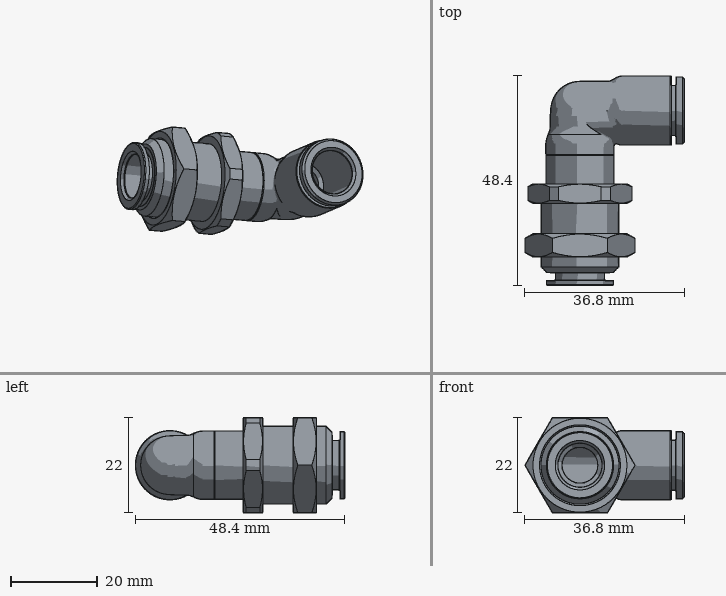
import cadquery as cq
import math


OVERALL_LENGTH = 48.35

PASSAGE_DIA = 8.2
LAND_DIA = 10.2
MOUTH_DIA = 11.4
MOUTH_LENGTH = 0.6
LAND_LENGTH = 0.25
TUBE_DIA = 10.15
SOCKET_DEPTH = 16.45
SOCKET_CONE_HALF_ANGLE = math.radians(60)

LEG_BODY_DIA = 16.0
STEM_BODY_DIA = 15.8
BODY_END_TAPER = 0.3
BODY_END_DROP = 0.1
PIPE_DIA = 13.55
FLARE_ANGLE = math.radians(30)

LEG_FLARE_START = 6.2
LEG_CONCAVE_RADIUS = 2.65
LEG_CONVEX_RADIUS = 3.0
LEG_BODY_END = 21.1
LEG_FLANGE_BACK = 22.2
LEG_TIP = 24.1

WEB_DEPTH = 5.95
WEB_CORNER_RADIUS = 3.4
WEB_FLARE_BLEND_RADIUS = 2.4
WEB_STEM_BLEND_RADIUS = 0.5
PICK_MARGIN = 0.15
web_end = LEG_FLARE_START + 2 * LEG_CONCAVE_RADIUS * math.sin(FLARE_ANGLE)

STEM_PIPE_DIA = 13.85
STEM_TAPER_START = -0.5
STEM_PIPE_START = 1.25
STEM_FLARE_START = 3.7
STEM_CONCAVE_RADIUS = 3.5
STEM_CONVEX_RADIUS = 4.25
STEM_BODY_END = 10.4
THREAD_DIA = 18.0
THREAD_END = 37.37
THREAD_CHAMFER = 1.35
INNER_RING_DIA = 13.65
INNER_RING_END = 37.45
STEM_FLANGE_BACK = 39.2
STEM_TIP = OVERALL_LENGTH - LEG_BODY_DIA / 2

LEG_COLLET_DIA = 11.6
STEM_COLLET_DIA = 11.4
COLLET_LIP_STEP = 0.15
COLLET_LIP_LENGTH = 0.2
FLANGE_DIA = 15.5
LEG_FLANGE_CHAMFER = 0.5
STEM_FLANGE_CHAMFER = 0.25

HEX_FLATS = 22.0
HEX_CORNERS = HEX_FLATS / math.cos(math.radians(30))
HEX_FACE_DIA = 21.65
HEX_CHAMFER_ANGLE = math.radians(30)
COLLAR_START = 16.85
COLLAR_LENGTH = 4.55
COLLAR_CORNER_DIA = 24.1
NUT_START = 28.4
NUT_LENGTH = 5.4
NUT_MOUTH_DIA = 18.65


def along_x(outline):
    """Revolve an outline of (distance, radius) about the X axis."""
    return outline.close().revolve(360, (0, 0, 0), (1, 0, 0))


def onto_stem(solid):
    """Turn a solid built along +X so that it runs along -Y."""
    return solid.rotate((0, 0, 0), (0, 0, 1), -90)


def collet(start, flange_back, tip, neck_dia, chamfer):
    """Collet neck with a small lip and a chamfered flange at its tip."""
    lip_start = flange_back - COLLET_LIP_LENGTH
    neck_radius = neck_dia / 2
    lip_radius = neck_radius + COLLET_LIP_STEP
    outline = (
        cq.Workplane("XY")
        .moveTo(start, 0)
        .lineTo(start, neck_radius)
        .lineTo(lip_start, neck_radius)
        .lineTo(lip_start, lip_radius)
        .lineTo(flange_back, lip_radius)
        .lineTo(flange_back, FLANGE_DIA / 2)
        .lineTo(tip - chamfer, FLANGE_DIA / 2)
        .lineTo(tip, FLANGE_DIA / 2 - chamfer)
        .lineTo(tip, 0)
    )
    return along_x(outline)


def bore(start, tip):
    """Passage beginning at start, widening into the tube socket and its mouth at the tip."""
    passage_radius = PASSAGE_DIA / 2
    tube_radius = TUBE_DIA / 2
    land_radius = LAND_DIA / 2
    socket_end = tip - SOCKET_DEPTH
    cone_length = (tube_radius - passage_radius) / math.tan(SOCKET_CONE_HALF_ANGLE)
    land_start = tip - MOUTH_LENGTH
    land_end = land_start - LAND_LENGTH
    outline = (
        cq.Workplane("XY")
        .moveTo(start, 0)
        .lineTo(start, passage_radius)
        .lineTo(socket_end - cone_length, passage_radius)
        .lineTo(socket_end, tube_radius)
        .lineTo(land_end, tube_radius)
        .lineTo(land_end, land_radius)
        .lineTo(land_start, land_radius)
        .lineTo(tip, MOUTH_DIA / 2)
        .lineTo(tip, 0)
    )
    return along_x(outline)


def add_flare(outline, start, small_radius, body_radius, concave_radius, convex_radius):
    """Continue an outline from the pipe to the body: concave arc, cone, convex arc."""
    half = FLARE_ANGLE / 2
    sine = math.sin(FLARE_ANGLE)
    cosine = math.cos(FLARE_ANGLE)
    cone_start = start + concave_radius * sine
    cone_start_radius = small_radius + concave_radius * (1 - cosine)
    cone_end_radius = body_radius - convex_radius * (1 - cosine)
    cone_end = cone_start + max(0, cone_end_radius - cone_start_radius) / math.tan(FLARE_ANGLE)
    end = cone_end + convex_radius * sine
    concave_middle = (
        start + concave_radius * math.sin(half),
        small_radius + concave_radius * (1 - math.cos(half)),
    )
    convex_middle = (
        end - convex_radius * math.sin(half),
        body_radius - convex_radius * (1 - math.cos(half)),
    )
    return (
        outline.lineTo(start, small_radius)
        .threePointArc(concave_middle, (cone_start, cone_start_radius))
        .lineTo(cone_end, cone_end_radius)
        .threePointArc(convex_middle, (end, body_radius))
    )


def add_body_end(outline, end, body_radius):
    """Finish an outline with the body cylinder and its slightly tapered end."""
    return (
        outline.lineTo(end - BODY_END_TAPER, body_radius)
        .lineTo(end, body_radius - BODY_END_DROP)
        .lineTo(end, 0)
    )


def leg_body():
    """Straight leg: pipe, flare and body."""
    pipe_radius = PIPE_DIA / 2
    body_radius = LEG_BODY_DIA / 2
    outline = cq.Workplane("XY").lineTo(0, pipe_radius)
    outline = add_flare(
        outline, LEG_FLARE_START, pipe_radius, body_radius, LEG_CONCAVE_RADIUS, LEG_CONVEX_RADIUS
    )
    return along_x(add_body_end(outline, LEG_BODY_END, body_radius))


def stem_body():
    """Upper part of the threaded leg: slight taper from the dome, pipe, flare and body."""
    pipe_radius = STEM_PIPE_DIA / 2
    body_radius = STEM_BODY_DIA / 2
    dome_radius = math.sqrt((PIPE_DIA / 2) ** 2 - STEM_TAPER_START**2)
    outline = (
        cq.Workplane("XY")
        .moveTo(STEM_TAPER_START, 0)
        .lineTo(STEM_TAPER_START, dome_radius)
        .lineTo(STEM_PIPE_START, pipe_radius)
    )
    outline = add_flare(
        outline, STEM_FLARE_START, pipe_radius, body_radius, STEM_CONCAVE_RADIUS, STEM_CONVEX_RADIUS
    )
    return onto_stem(along_x(add_body_end(outline, STEM_BODY_END, body_radius)))


def web():
    """Flat-sided web under the straight leg, rounded along its lower edges."""
    return (
        cq.Workplane("XY")
        .box(web_end, WEB_DEPTH, PIPE_DIA, centered=(False, False, True))
        .translate((0, -WEB_DEPTH, 0))
        .edges("|X and <Y")
        .fillet(WEB_CORNER_RADIUS)
    )


def leg_with_web():
    """Straight leg joined to its web, with a fillet where the web runs into the flare."""
    half_width = PIPE_DIA / 2
    flare_edges = cq.selectors.BoxSelector(
        (LEG_FLARE_START + PICK_MARGIN, -half_width, -half_width),
        (web_end, -PICK_MARGIN, half_width),
    )
    return leg_body().union(web()).edges(flare_edges).fillet(WEB_FLARE_BLEND_RADIUS)


def threaded_sleeve():
    """Sleeve from the elbow body to the chamfered thread end, with a slightly proud inner ring."""
    thread_start = COLLAR_START + COLLAR_LENGTH / 2
    outline = (
        cq.Workplane("XY")
        .moveTo(STEM_BODY_END, 0)
        .lineTo(STEM_BODY_END, STEM_BODY_DIA / 2)
        .lineTo(thread_start, STEM_BODY_DIA / 2)
        .lineTo(thread_start, THREAD_DIA / 2)
        .lineTo(THREAD_END - THREAD_CHAMFER, THREAD_DIA / 2)
        .lineTo(THREAD_END, THREAD_DIA / 2 - THREAD_CHAMFER)
        .lineTo(THREAD_END, INNER_RING_DIA / 2)
        .lineTo(INNER_RING_END, INNER_RING_DIA / 2)
        .lineTo(INNER_RING_END, 0)
    )
    return onto_stem(along_x(outline))


def hexagon(start, length, corner_dia):
    """Hexagon with flats facing Z, chamfered on both faces and limited at its corners."""
    prism = (
        cq.Workplane("XZ")
        .workplane(offset=start)
        .polygon(6, HEX_CORNERS)
        .extrude(length)
    )
    face_radius = HEX_FACE_DIA / 2
    corner_radius = corner_dia / 2
    drop = (corner_radius - face_radius) * math.tan(HEX_CHAMFER_ANGLE)
    outline = (
        cq.Workplane("XY")
        .moveTo(start, 0)
        .lineTo(start, face_radius)
        .lineTo(start + drop, corner_radius)
        .lineTo(start + length - drop, corner_radius)
        .lineTo(start + length, face_radius)
        .lineTo(start + length, 0)
    )
    return prism.intersect(onto_stem(along_x(outline)))


def nut_mouth():
    """Countersink of the nut around the thread, on the side facing the thread end."""
    thread_radius = THREAD_DIA / 2
    depth = NUT_MOUTH_DIA / 2 - thread_radius
    nut_end = NUT_START + NUT_LENGTH
    outline = (
        cq.Workplane("XY")
        .moveTo(nut_end - depth, thread_radius)
        .lineTo(nut_end, thread_radius + depth)
        .lineTo(nut_end, thread_radius)
    )
    return onto_stem(along_x(outline))


def elbow():
    """Rounded outer corner with both legs, softened where the web runs out over the stem."""
    body = cq.Workplane("XY").sphere(PIPE_DIA / 2).union(leg_with_web()).union(stem_body())
    crease_start = STEM_FLARE_START + STEM_CONCAVE_RADIUS * math.sin(FLARE_ANGLE) + PICK_MARGIN
    crease_edges = cq.selectors.BoxSelector(
        (PICK_MARGIN, -STEM_BODY_DIA / 2, -PIPE_DIA / 2), (web_end, -crease_start, PIPE_DIA / 2)
    )
    return body.edges(crease_edges).fillet(WEB_STEM_BLEND_RADIUS)


nut = hexagon(NUT_START, NUT_LENGTH, HEX_CORNERS).cut(nut_mouth())
collar = hexagon(COLLAR_START, COLLAR_LENGTH, COLLAR_CORNER_DIA)

leg_collet = collet(LEG_BODY_END, LEG_FLANGE_BACK, LEG_TIP, LEG_COLLET_DIA, LEG_FLANGE_CHAMFER)
stem_collet = onto_stem(
    collet(INNER_RING_END, STEM_FLANGE_BACK, STEM_TIP, STEM_COLLET_DIA, STEM_FLANGE_CHAMFER)
)

solid = elbow().union(threaded_sleeve()).union(collar).union(nut).union(leg_collet).union(stem_collet)

result = solid.cut(bore(-PASSAGE_DIA / 2, LEG_TIP)).cut(onto_stem(bore(0, STEM_TIP)))